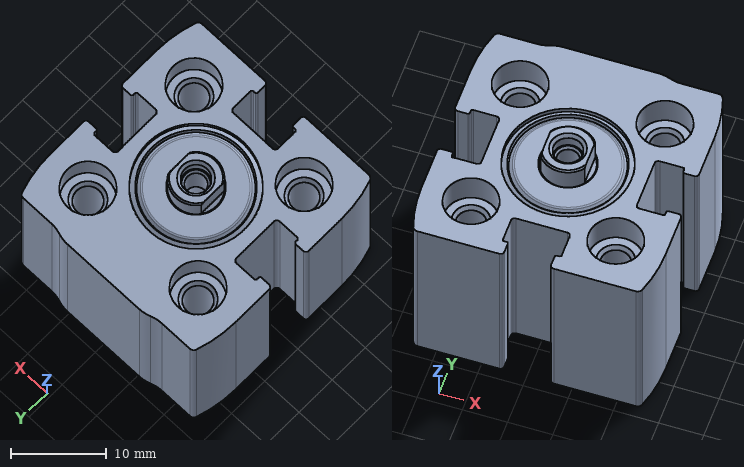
import cadquery as cq
import math

housing_height = 20.5
half_size = 13.5
hole_offset = 8.0
side_arc_radius = 15.95
corner_radius = 0.6

crown_height = 0.5
crown_blend_radius = 4.0

slot_half_mouth = 2.58
slot_half_width = 3.25
slot_depth = 4.9
lip_thickness = 1.7
mouth_radius = 0.4
pocket_radius = 0.4
lip_radius = 0.2

screw_hole_diameter = 3.3
countersink_diameter = 4.12
counterbore_diameter = 6.0
counterbore_depth = 3.5

cap_recess = 0.2
cap_flat_radius = 5.65
cap_edge_radius = 5.85
groove_radius = 6.22
cap_slope = 39.0
crest_radius = 6.38
crest_depth = 0.22
rim_radius = 14.0 / 2
ring_slope = 30.0

rod_diameter = 6.0
rod_protrusion = 2.5
rod_bottom = housing_height / 2
rod_edge_chamfer = 0.2
rod_half_flats = 2.45
flat_runout_slope = 30.0
bore_chamfer = 0.15

rod_sink_diameter = 4.0
rod_bore_diameter = 3.25
rod_bore_depth = 1.6
thread_diameter = 2.45
thread_chamfer = 0.28
thread_depth = 6.0
drill_tip_half_angle = 60.0

rod_top = housing_height + rod_protrusion
cap_face = housing_height - cap_recess
rod_radius = rod_diameter / 2


def revolve_profile(profile):
    """Revolve a closed (radius, height) outline about the Z axis."""
    return profile.close().revolve(360, (0, 0, 0), (0, 1, 0))


def housing_block():
    """Extruded block whose side walls curve inwards beyond the corner holes."""
    arc_centre = half_size - side_arc_radius

    def wall_x(y):
        return arc_centre + math.sqrt(side_arc_radius**2 - (y - hole_offset) ** 2)

    corner_x = wall_x(half_size)
    middle_y = (half_size + hole_offset) / 2
    middle_x = wall_x(middle_y)
    block = (
        cq.Workplane("XY")
        .moveTo(0, -half_size)
        .lineTo(corner_x, -half_size)
        .threePointArc((middle_x, -middle_y), (half_size, -hole_offset))
        .lineTo(half_size, hole_offset)
        .threePointArc((middle_x, middle_y), (corner_x, half_size))
        .lineTo(0, half_size)
        .mirrorY()
        .extrude(housing_height)
    )
    return block.faces("<Y or >Y").edges("|Z").fillet(corner_radius)


def crown():
    """Low raised pad on the +Y side, blended in by two equal tangent arcs at each end."""
    half_rise = crown_height / 2
    blend_run = math.sqrt(crown_blend_radius**2 - (crown_blend_radius - half_rise) ** 2)
    foot_x = hole_offset
    top_y = half_size + crown_height
    return (
        cq.Workplane("XY")
        .moveTo(0, hole_offset)
        .lineTo(foot_x, hole_offset)
        .lineTo(foot_x, half_size)
        .radiusArc((foot_x - blend_run, half_size + half_rise), crown_blend_radius)
        .radiusArc((foot_x - 2 * blend_run, top_y), -crown_blend_radius)
        .lineTo(0, top_y)
        .mirrorY()
        .extrude(housing_height)
    )


def slot_cutter(angle):
    """T-slot cutter made for the -Y side and turned about Z by the angle."""
    floor_y = slot_depth - half_size
    lip_y = lip_thickness - half_size
    return (
        cq.Workplane("XY")
        .moveTo(0, floor_y)
        .lineTo(slot_half_width - pocket_radius, floor_y)
        .radiusArc((slot_half_width, floor_y - pocket_radius), pocket_radius)
        .lineTo(slot_half_width, lip_y + lip_radius)
        .radiusArc((slot_half_width - lip_radius, lip_y), lip_radius)
        .lineTo(slot_half_mouth + lip_radius, lip_y)
        .radiusArc((slot_half_mouth, lip_y - lip_radius), -lip_radius)
        .lineTo(slot_half_mouth, mouth_radius - half_size)
        .radiusArc((slot_half_mouth + mouth_radius, -half_size), -mouth_radius)
        .lineTo(0, -half_size)
        .mirrorY()
        .extrude(housing_height)
        .rotate((0, 0, 0), (0, 0, 1), angle)
    )


def screw_hole_cutter():
    """Through hole with a counterbore and a 45 degree countersink in its floor."""
    hole_radius = screw_hole_diameter / 2
    sink_radius = countersink_diameter / 2
    bore_radius = counterbore_diameter / 2
    bore_floor = housing_height - counterbore_depth
    return revolve_profile(
        cq.Workplane("XZ")
        .lineTo(hole_radius, 0)
        .lineTo(hole_radius, bore_floor - (sink_radius - hole_radius))
        .lineTo(sink_radius, bore_floor)
        .lineTo(bore_radius, bore_floor)
        .lineTo(bore_radius, housing_height)
        .lineTo(0, housing_height)
    )


def cap_cutter():
    """Shallow recess over the cap, with the V-groove and the sloped ring around it."""
    slope = math.radians(cap_slope)
    round_radius = (cap_edge_radius - cap_flat_radius) / math.sin(slope)
    cap_edge_z = cap_face - round_radius * (1 - math.cos(slope))
    groove_z = cap_edge_z - (groove_radius - cap_edge_radius) * math.tan(slope)
    crest_z = housing_height - crest_depth
    rim_z = crest_z - (rim_radius - crest_radius) * math.tan(math.radians(ring_slope))
    return revolve_profile(
        cq.Workplane("XZ")
        .moveTo(0, cap_face)
        .lineTo(cap_flat_radius, cap_face)
        .radiusArc((cap_edge_radius, cap_edge_z), round_radius)
        .lineTo(groove_radius, groove_z)
        .lineTo(crest_radius, crest_z)
        .lineTo(rim_radius, rim_z)
        .lineTo(rim_radius, housing_height)
        .lineTo(0, housing_height)
    )


def rod_bore_cutter():
    """Blind bore that holds the rod, chamfered at the cap face."""
    return revolve_profile(
        cq.Workplane("XZ")
        .moveTo(0, rod_bottom)
        .lineTo(rod_radius, rod_bottom)
        .lineTo(rod_radius, cap_face - bore_chamfer)
        .lineTo(rod_radius + bore_chamfer, cap_face)
        .lineTo(0, cap_face)
    )


def make_housing():
    body = housing_block().union(crown())
    for angle in (0, 90, -90):
        body = body.cut(slot_cutter(angle))
    for x in (-hole_offset, hole_offset):
        for y in (-hole_offset, hole_offset):
            body = body.cut(screw_hole_cutter().translate((x, y, 0)))
    return body.cut(cap_cutter()).cut(rod_bore_cutter())


def flat_cutter(angle):
    """Wrench flat on the +X side with a sloped run-out, turned about Z by the angle."""
    runout_drop = (rod_radius - rod_half_flats) * math.tan(math.radians(flat_runout_slope))
    return (
        cq.Workplane("XZ")
        .moveTo(rod_half_flats, rod_top)
        .lineTo(rod_half_flats, cap_face)
        .lineTo(rod_radius, cap_face - runout_drop)
        .lineTo(rod_radius, rod_top)
        .close()
        .extrude(rod_radius, both=True)
        .rotate((0, 0, 0), (0, 0, 1), angle)
    )


def thread_hole_cutter():
    """Countersink, counterbore and drilled thread hole with a conical tip."""
    sink_radius = rod_sink_diameter / 2
    bore_radius = rod_bore_diameter / 2
    thread_radius = thread_diameter / 2
    bore_floor = rod_top - rod_bore_depth
    thread_floor = rod_top - thread_depth
    tip_height = thread_radius / math.tan(math.radians(drill_tip_half_angle))
    return revolve_profile(
        cq.Workplane("XZ")
        .moveTo(0, rod_top)
        .lineTo(sink_radius, rod_top)
        .lineTo(bore_radius, rod_top - (sink_radius - bore_radius))
        .lineTo(bore_radius, bore_floor)
        .lineTo(thread_radius + thread_chamfer, bore_floor)
        .lineTo(thread_radius, bore_floor - thread_chamfer)
        .lineTo(thread_radius, thread_floor)
        .lineTo(0, thread_floor - tip_height)
    )


def make_rod():
    body = (
        cq.Workplane("XY", origin=(0, 0, rod_bottom))
        .circle(rod_radius)
        .extrude(rod_top - rod_bottom)
        .faces(">Z")
        .chamfer(rod_edge_chamfer)
    )
    for angle in (0, 180):
        body = body.cut(flat_cutter(angle))
    return body.cut(thread_hole_cutter())


housing = make_housing()
rod = make_rod()

result = cq.Compound.makeCompound([housing.val(), rod.val()])